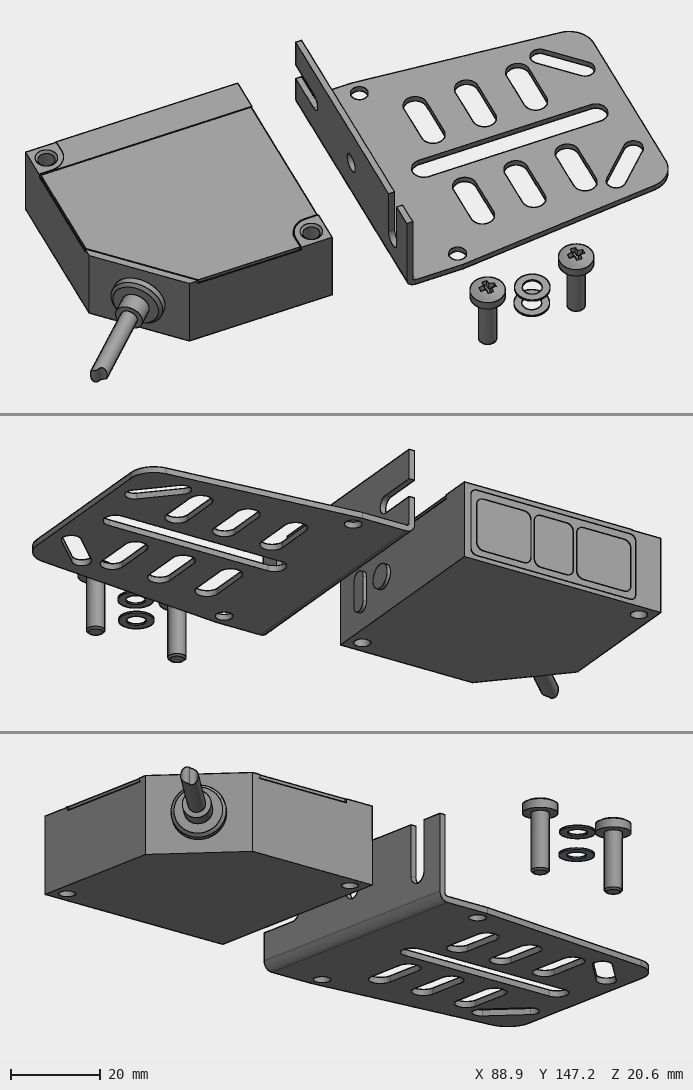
import cadquery as cq
import math


BRACKET_WIDTH = 61.0
BRACKET_LENGTH = 68.0
BRACKET_HEIGHT = 20.6
SHEET = 1.5
BEND_RADIUS = 2.2
STRAIGHT_LENGTH = 13.8
FAR_END_WIDTH = 50.4
FAR_CORNER_RADIUS = 6.0
PLATE_SLOT_WIDTH = 5.5
CENTRE_SLOT_LENGTH = 47.5
CENTRE_SLOT_Y = 38.7
CROSS_SLOT_LENGTH = 15.2
CROSS_SLOT_X = 13.5
CROSS_SLOT_Y = 36.4
CROSS_SLOT_PITCH = 12.5
DIAGONAL_SLOT_LENGTH = 15.2
DIAGONAL_SLOT_WIDTH = 4.4
DIAGONAL_SLOT_X = 17.1
DIAGONAL_SLOT_Y = 59.2
PLATE_HOLE_DIAMETER = 4.0
PLATE_HOLE_X = 27.0
PLATE_HOLE_Y = 14.0

FLANGE_OPENING = 4.4
SIDE_SLOT_Z = 11.0
SIDE_SLOT_DEPTH = 12.1
TOP_SLOT_X = 22.7
TOP_SLOT_DEPTH = 14.5
FLANGE_HOLE_Z = 10.9

SENSOR_SIDE = 51.9
SENSOR_HEIGHT = 18.7
SENSOR_LEFT = -25.2
SENSOR_BACK = -16.5
SENSOR_BOTTOM = 0.9
SENSOR_RIGHT = SENSOR_LEFT + SENSOR_SIDE
SENSOR_FRONT = SENSOR_BACK - SENSOR_SIDE
SENSOR_TOP = SENSOR_BOTTOM + SENSOR_HEIGHT
SENSOR_MID_Z = SENSOR_BOTTOM + SENSOR_HEIGHT / 2
CORNER_CUT = 17.0

LENS_STRIP = 7.8
CABLE_STRIP_LEG = 2.2
LID_DEPTH = 0.9
LID_GAP = 0.22

PAD_SIDE = 7.5
PAD_RADIUS = 4.4
PAD_DROP = 0.1
MOUNT_HOLE_DIAMETER = 3.8
MOUNT_HOLE_CHAMFER = 0.6
MOUNT_HOLE_INSET = 3.5

LENS_PANEL_WIDTH = 43.5
LENS_PANEL_HEIGHT = 16.4
LENS_PANEL_OFFSET = 1.8
LENS_PANEL_RADIUS = 1.5
LENS_PANEL_DEPTH = 0.1
WINDOW_HEIGHT = 13.0
WINDOW_RADIUS = 1.8
WINDOW_DEPTH = 0.1
WINDOW_MARGIN = 1.6
WINDOW_GAP = 0.9
WINDOW_WIDTHS = (14.3, 10.3, 14.3)

CONTROL_HEIGHT = 0.9
ADJUSTER_DIAMETER = 5.9
ADJUSTER_X = 8.7
SWITCH_WIDTH = 3.8
SWITCH_LENGTH = 10.0
SWITCH_X = 17.7

GLAND_DIAMETER = 12.4
GLAND_THICKNESS = 2.2
GLAND_CHAMFER = 0.7
NECK_DIAMETER = 6.5
NECK_END = 6.3
CABLE_DIAMETER = 4.0
CABLE_END = 25.2
CABLE_WAVE = 0.7

HEAD_DIAMETER = 8.0
HEAD_RIM = 2.0
HEAD_HEIGHT = 3.2
SHANK_DIAMETER = 4.1
SHANK_LENGTH = 14.0
SHANK_CHAMFER = 0.5
RECESS_SPAN = 3.8
RECESS_WIDTH = 1.3
RECESS_DEPTH = 1.3
RECESS_TAPER = 15
SCREW_SEATS = ((53.6, 31.1, 16.8), (54.4, 9.1, 16.2))

WASHER_DIAMETER = 8.0
WASHER_HOLE = 4.4
WASHER_THICKNESS = 0.5
WASHER_CENTRES = ((54.4, 20.0, 14.3), (54.0, 20.0, 9.0))


def plate_slots(centres, length, width, angle=0):
    """Vertical slot cutters through the bracket's plate."""
    slots = cq.Workplane("XY").pushPoints(centres).slot2D(length, width, angle)
    return slots.extrude(SHEET)


def make_bracket():
    """Sheet-metal angle: a tapered, slotted plate and an upright flange."""
    profile = [
        (0, 0),
        (BRACKET_LENGTH, 0),
        (BRACKET_LENGTH, SHEET),
        (SHEET, SHEET),
        (SHEET, BRACKET_HEIGHT),
        (0, BRACKET_HEIGHT),
    ]
    angle = cq.Workplane("YZ").polyline(profile).close().extrude(BRACKET_WIDTH / 2, both=True)
    angle = angle.edges(cq.NearestToPointSelector((0, 0, 0))).fillet(BEND_RADIUS)
    inner_edge = cq.NearestToPointSelector((0, SHEET, SHEET))
    angle = angle.edges(inner_edge).fillet(BEND_RADIUS - SHEET)

    half_width = BRACKET_WIDTH / 2
    half_end = FAR_END_WIDTH / 2
    outline = [
        (-half_width, 0),
        (half_width, 0),
        (half_width, STRAIGHT_LENGTH),
        (half_end, BRACKET_LENGTH),
        (-half_end, BRACKET_LENGTH),
        (-half_width, STRAIGHT_LENGTH),
    ]
    blank = cq.Workplane("XY").polyline(outline).close().extrude(BRACKET_HEIGHT)
    blank = blank.edges("|Z and >Y").fillet(FAR_CORNER_RADIUS)
    bracket = angle.intersect(blank)

    bracket = bracket.cut(plate_slots([(0, CENTRE_SLOT_Y)], CENTRE_SLOT_LENGTH, PLATE_SLOT_WIDTH, 90))
    cross_centres = [
        (side * CROSS_SLOT_X, CROSS_SLOT_Y + row * CROSS_SLOT_PITCH)
        for side in (-1, 1)
        for row in (-1, 0, 1)
    ]
    bracket = bracket.cut(plate_slots(cross_centres, CROSS_SLOT_LENGTH, PLATE_SLOT_WIDTH))
    for side in (-1, 1):
        centre = (side * DIAGONAL_SLOT_X, DIAGONAL_SLOT_Y)
        slot = plate_slots([centre], DIAGONAL_SLOT_LENGTH, DIAGONAL_SLOT_WIDTH, -45 * side)
        bracket = bracket.cut(slot)
    holes = cq.Workplane("XY").pushPoints([(-PLATE_HOLE_X, PLATE_HOLE_Y), (PLATE_HOLE_X, PLATE_HOLE_Y)])
    bracket = bracket.cut(holes.circle(PLATE_HOLE_DIAMETER / 2).extrude(SHEET))
    return bracket.cut(flange_openings())


def flange_openings():
    """Cutters for the flange: a slot open to the left, one open to the top, and a hole."""
    flange = cq.Workplane("XZ")
    side_slot = flange.center(-BRACKET_WIDTH / 2, SIDE_SLOT_Z)
    side_slot = side_slot.slot2D(2 * SIDE_SLOT_DEPTH, FLANGE_OPENING).extrude(-SHEET)
    top_slot = flange.center(TOP_SLOT_X, BRACKET_HEIGHT)
    top_slot = top_slot.slot2D(2 * TOP_SLOT_DEPTH, FLANGE_OPENING, 90).extrude(-SHEET)
    hole = flange.center(0, FLANGE_HOLE_Z).circle(FLANGE_OPENING / 2).extrude(-SHEET)
    return side_slot.union(top_slot).union(hole)


def corner_pad(corner_x, corner_y, inward, depth, margin=0):
    """Block under a top corner, its inner corner rounded; inward is +1 or -1 along X and Y."""
    side = PAD_SIDE + margin
    centre = (corner_x + inward * side / 2, corner_y + inward * side / 2)
    pad = cq.Workplane("XY", origin=(0, 0, SENSOR_TOP - depth)).center(*centre)
    pad = pad.rect(side, side).extrude(depth)
    inner_point = (corner_x + inward * side, corner_y + inward * side, SENSOR_TOP - depth / 2)
    return pad.edges(cq.NearestToPointSelector(inner_point)).fillet(PAD_RADIUS + margin)


def cut_lid_groove(body):
    """Cut a narrow groove around the lid; it is an open ledge along the outer sides."""
    lid_left = SENSOR_LEFT + LENS_STRIP
    cut = CORNER_CUT + CABLE_STRIP_LEG
    outline = [
        (lid_left, SENSOR_FRONT),
        (SENSOR_RIGHT - cut, SENSOR_FRONT),
        (SENSOR_RIGHT, SENSOR_FRONT + cut),
        (SENSOR_RIGHT, SENSOR_BACK),
        (lid_left, SENSOR_BACK),
    ]
    floor = cq.Workplane("XY", origin=(0, 0, SENSOR_TOP - LID_DEPTH))
    pocket = floor.polyline(outline).close().extrude(LID_DEPTH)
    pocket = pocket.cut(corner_pad(SENSOR_RIGHT, SENSOR_BACK, -1, LID_DEPTH))
    lid = floor.polyline(outline).close().offset2D(-LID_GAP).extrude(LID_DEPTH)
    lid = lid.cut(corner_pad(SENSOR_RIGHT, SENSOR_BACK, -1, LID_DEPTH, LID_GAP))
    return body.cut(pocket.cut(lid))


def cut_mount_holes(body):
    """Two countersunk through holes in opposite corners."""
    inset = MOUNT_HOLE_INSET
    centres = [(SENSOR_LEFT + inset, SENSOR_FRONT + inset), (SENSOR_RIGHT - inset, SENSOR_BACK - inset)]
    tops = (SENSOR_TOP - PAD_DROP, SENSOR_TOP)
    radius = MOUNT_HOLE_DIAMETER / 2
    for centre, top in zip(centres, tops):
        depth = top - SENSOR_BOTTOM
        hole = cq.Workplane("XY", origin=(*centre, SENSOR_BOTTOM)).circle(radius).extrude(depth)
        mouth = cq.Solid.makeCone(
            radius,
            radius + MOUNT_HOLE_CHAMFER,
            MOUNT_HOLE_CHAMFER,
            pnt=cq.Vector(*centre, top - MOUNT_HOLE_CHAMFER),
        )
        body = body.cut(hole).cut(cq.Workplane(mouth))
    return body


def lens_block(centre_y, width, height, radius, start, depth):
    """Rounded rectangular cutter that goes in +X from a plane `start` behind the lens face."""
    block = cq.Workplane("YZ", origin=(SENSOR_LEFT + start, centre_y, SENSOR_MID_Z))
    return block.rect(width, height).extrude(depth).edges("|X").fillet(radius)


def cut_lens_panel(body):
    """Shallow panel in the lens face with three windows sunk into it."""
    panel_edge = SENSOR_BACK - LENS_PANEL_OFFSET
    panel_y = panel_edge - LENS_PANEL_WIDTH / 2
    panel = lens_block(panel_y, LENS_PANEL_WIDTH, LENS_PANEL_HEIGHT, LENS_PANEL_RADIUS, 0, LENS_PANEL_DEPTH)
    body = body.cut(panel)
    window_edge = panel_edge - WINDOW_MARGIN
    for width in WINDOW_WIDTHS:
        window_y = window_edge - width / 2
        window = lens_block(window_y, width, WINDOW_HEIGHT, WINDOW_RADIUS, LENS_PANEL_DEPTH, WINDOW_DEPTH)
        body = body.cut(window)
        window_edge -= width + WINDOW_GAP
    return body


def add_controls(body):
    """Round adjuster and upright oblong switch on the back face."""
    back = cq.Workplane("XZ", origin=(0, SENSOR_BACK, SENSOR_MID_Z))
    adjuster = back.center(ADJUSTER_X, 0).circle(ADJUSTER_DIAMETER / 2).extrude(-CONTROL_HEIGHT)
    switch = back.center(SWITCH_X, 0).slot2D(SWITCH_LENGTH, SWITCH_WIDTH, 90).extrude(-CONTROL_HEIGHT)
    return body.union(adjuster).union(switch)


def make_cable():
    """Gland, neck and cable along local +X from the origin, local Z up."""
    base = cq.Workplane("YZ")
    gland = base.circle(GLAND_DIAMETER / 2).extrude(GLAND_THICKNESS)
    gland = gland.faces(">X").edges().chamfer(GLAND_CHAMFER)
    neck = base.circle(NECK_DIAMETER / 2).extrude(NECK_END)
    cable = base.circle(CABLE_DIAMETER / 2).extrude(CABLE_END + CABLE_WAVE)

    radius = CABLE_DIAMETER / 2
    envelope = (
        cq.Workplane("XY", origin=(0, 0, -radius))
        .moveTo(0, -radius)
        .lineTo(CABLE_END, -radius)
        .threePointArc((CABLE_END + CABLE_WAVE, -radius / 2), (CABLE_END, 0))
        .threePointArc((CABLE_END - CABLE_WAVE, radius / 2), (CABLE_END, radius))
        .lineTo(0, radius)
        .close()
        .extrude(2 * radius)
    )
    return gland.union(neck).union(cable.intersect(envelope))


def make_sensor():
    """Square sensor housing with its lid groove, lens panel, controls and cable."""
    outline = [
        (SENSOR_LEFT, SENSOR_FRONT),
        (SENSOR_RIGHT - CORNER_CUT, SENSOR_FRONT),
        (SENSOR_RIGHT, SENSOR_FRONT + CORNER_CUT),
        (SENSOR_RIGHT, SENSOR_BACK),
        (SENSOR_LEFT, SENSOR_BACK),
    ]
    body = cq.Workplane("XY", origin=(0, 0, SENSOR_BOTTOM)).polyline(outline).close().extrude(SENSOR_HEIGHT)
    body = cut_lid_groove(body)
    body = body.cut(corner_pad(SENSOR_LEFT, SENSOR_FRONT, 1, PAD_DROP))
    body = cut_mount_holes(body)
    body = cut_lens_panel(body)
    body = add_controls(body)
    cut_middle = (SENSOR_RIGHT - CORNER_CUT / 2, SENSOR_FRONT + CORNER_CUT / 2, SENSOR_MID_Z)
    cable = make_cable().rotate((0, 0, 0), (0, 0, 1), -45).translate(cut_middle)
    return body.union(cable)


def make_screw():
    """Domed cross-recess screw with the underside of its head at Z = 0."""
    shank = cq.Workplane("XY").circle(SHANK_DIAMETER / 2).extrude(-SHANK_LENGTH)
    shank = shank.faces("<Z").edges().chamfer(SHANK_CHAMFER)
    rim = HEAD_DIAMETER / 2
    dome_rise = HEAD_HEIGHT - HEAD_RIM
    dome_radius = (rim**2 + dome_rise**2) / (2 * dome_rise)
    dome_angle = math.asin(rim / dome_radius) / 2
    dome_middle = (
        dome_radius * math.sin(dome_angle),
        HEAD_HEIGHT - dome_radius * (1 - math.cos(dome_angle)),
    )
    head = (
        cq.Workplane("XZ")
        .lineTo(rim, 0)
        .lineTo(rim, HEAD_RIM)
        .threePointArc(dome_middle, (0, HEAD_HEIGHT))
        .close()
        .revolve(360, (0, 0), (0, 1))
    )
    mouth = cq.Workplane("XY", origin=(0, 0, HEAD_HEIGHT))
    recess = mouth.rect(RECESS_SPAN, RECESS_WIDTH).extrude(-RECESS_DEPTH, taper=RECESS_TAPER)
    crossing = mouth.rect(RECESS_WIDTH, RECESS_SPAN).extrude(-RECESS_DEPTH, taper=RECESS_TAPER)
    return shank.union(head).cut(recess.union(crossing))


def make_washer():
    """Flat washer centred on the origin."""
    washer = cq.Workplane("XY").circle(WASHER_DIAMETER / 2).circle(WASHER_HOLE / 2)
    return washer.extrude(WASHER_THICKNESS / 2, both=True)


bracket = make_bracket()
sensor = make_sensor()
screws = [make_screw().translate(seat) for seat in SCREW_SEATS]
washers = [make_washer().translate(centre) for centre in WASHER_CENTRES]

result = cq.Compound.makeCompound(
    [
        bracket.val(),
        sensor.val(),
        *[screw.val() for screw in screws],
        *[washer.val() for washer in washers],
    ]
)